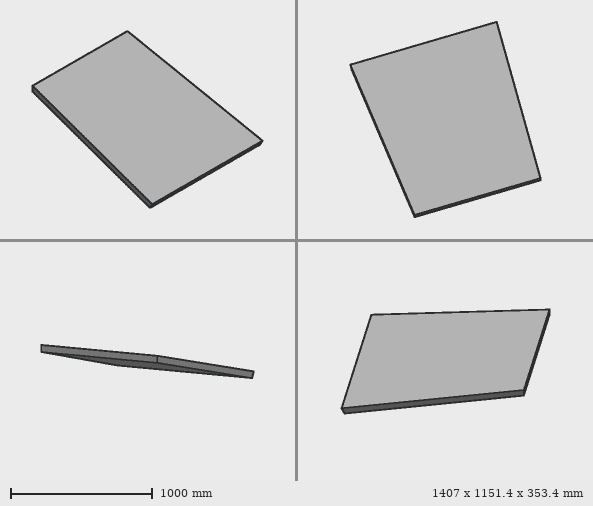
import cadquery as cq
import math

thickness = 50.0
plan_length = 1298.75
mean_width = 1007.4
side_taper = 3.32
heading = 6.67
drop = 307.5

slope = math.atan2(drop, plan_length)
width_change = 2 * plan_length * math.tan(math.radians(side_taper))
narrow_width = mean_width - width_change / 2
wide_width = mean_width + width_change / 2

bevel_length = thickness / math.cos(slope)
low_lean = 2 * slope
high_z = drop + bevel_length * math.cos(low_lean)


def sloping_slab():
    """Side profile of the panel, extruded across the full wide end."""
    low_top = (plan_length, high_z - drop)
    low_bottom = (plan_length - bevel_length * math.sin(low_lean), 0)
    return (
        cq.Workplane("XZ")
        .moveTo(0, high_z)
        .lineTo(*low_top)
        .lineTo(*low_bottom)
        .lineTo(0, high_z - bevel_length)
        .close()
        .extrude(wide_width / 2, both=True)
    )


def plan_prism():
    """Upright prism over the trapezoidal plan, giving the plumb side faces."""
    outline = [
        (0, narrow_width / 2),
        (plan_length, wide_width / 2),
        (plan_length, -wide_width / 2),
        (0, -narrow_width / 2),
    ]
    return cq.Workplane("XY").polyline(outline).close().extrude(high_z)


panel = sloping_slab().intersect(plan_prism())
result = panel.rotate((0, 0, 0), (0, 0, 1), heading)